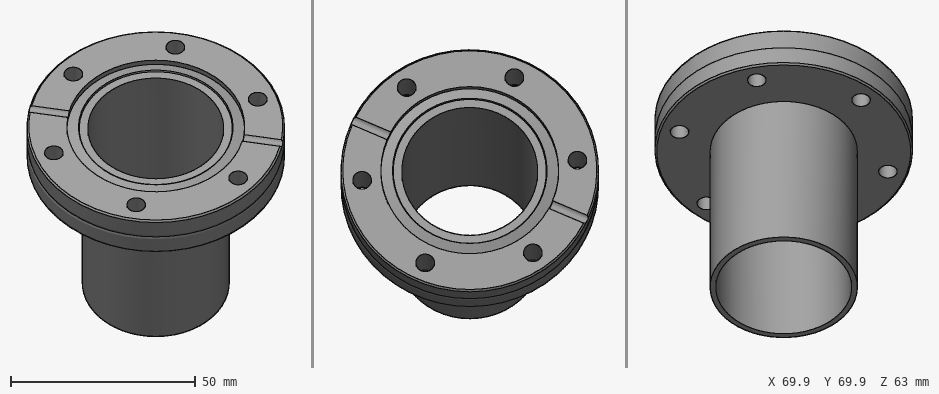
import cadquery as cq
import math

total_height = 63.0
flange_radius = 34.95
flange_thickness = 12.65
edge_chamfer = 0.5
tube_radius = 20.0
bore_radius = 18.45

rim_groove_drop = 6.5
rim_groove_half_width = 0.8
rim_groove_depth = 0.2

recess_radius = 24.1
recess_depth = 1.7
knife_radius = 21.0
knife_slope = 20
knife_inner_radius = 20.75
seat_depth = 1.0

bolt_count = 6
bolt_circle_radius = 29.35
bolt_hole_diameter = 5.0
leak_groove_width = 2.45
leak_groove_depth = 0.6
leak_groove_angle = 30

flange_bottom = total_height - flange_thickness
knife_tip_depth = recess_depth - (recess_radius - knife_radius) * math.tan(math.radians(knife_slope))


def turned_body():
    """Revolve the half section of the tube, flange, rim groove and knife edge."""
    groove_z = total_height - rim_groove_drop
    chamfer_radius = flange_radius - edge_chamfer
    section = [
        (bore_radius, 0),
        (tube_radius, 0),
        (tube_radius, flange_bottom),
        (chamfer_radius, flange_bottom),
        (flange_radius, flange_bottom + edge_chamfer),
        (flange_radius, groove_z - rim_groove_half_width),
        (flange_radius - rim_groove_depth, groove_z),
        (flange_radius, groove_z + rim_groove_half_width),
        (flange_radius, total_height - edge_chamfer),
        (chamfer_radius, total_height),
        (recess_radius, total_height),
        (recess_radius, total_height - recess_depth),
        (knife_radius, total_height - knife_tip_depth),
        (knife_inner_radius, total_height - seat_depth),
        (bore_radius, total_height - seat_depth),
    ]
    return cq.Workplane("XZ").polyline(section).close().revolve(360, (0, 0, 0), (0, 1, 0))


def bolt_holes():
    return (
        cq.Workplane("XY", origin=(0, 0, flange_bottom))
        .polarArray(bolt_circle_radius, 0, 360, bolt_count)
        .circle(bolt_hole_diameter / 2)
        .extrude(flange_thickness)
    )


def leak_groove(angle):
    """Round-bottomed radial channel from the recess out through the rim."""
    half_width = leak_groove_width / 2
    channel_radius = (half_width**2 + leak_groove_depth**2) / (2 * leak_groove_depth)
    center_z = total_height - leak_groove_depth + channel_radius
    inner_end = (recess_radius + knife_radius) / 2
    return (
        cq.Workplane("YZ", origin=(inner_end, 0, 0))
        .center(0, center_z)
        .circle(channel_radius)
        .extrude(flange_radius - inner_end)
        .rotate((0, 0, 0), (0, 0, 1), angle)
    )


result = turned_body().cut(bolt_holes())
for angle in (leak_groove_angle, leak_groove_angle + 180):
    result = result.cut(leak_groove(angle))